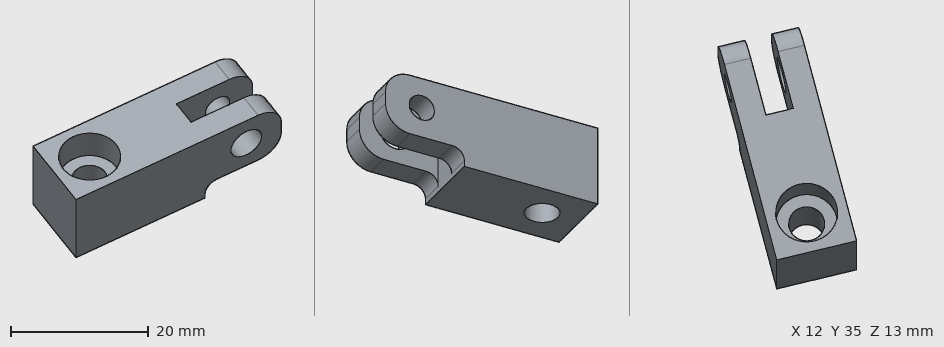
import cadquery as cq

length = 35
width = 12.0
height = 13.0

fork_length = 13.0
fork_height = 10.0
slot_width = 4.1
nose_radius = 4.0
step_radius = 2.0
near_pin_diameter = 4.13
far_pin_diameter = 5.2
pin_from_end = 6.0

bolt_diameter = 5.2
bore_diameter = 9.0
bore_depth = 5.0
bolt_from_end = 6.0

step_y = length - fork_length
fork_bottom = height - fork_height
pin_y = length - pin_from_end
pin_z = fork_bottom + fork_height / 2


def make_body():
    """Side profile with a raised, round-nosed fork end."""
    body = (
        cq.Workplane("YZ")
        .moveTo(0, 0)
        .lineTo(step_y, 0)
        .lineTo(step_y, fork_bottom)
        .lineTo(length, fork_bottom)
        .lineTo(length, height)
        .lineTo(0, height)
        .close()
        .extrude(width / 2, both=True)
    )
    body = body.edges("|X and >Y").fillet(nose_radius)
    step_corner = cq.selectors.NearestToPointSelector((0, step_y, fork_bottom))
    return body.edges(step_corner).fillet(step_radius)


def make_slot():
    """Gap between the two fork arms."""
    return cq.Workplane("XY").box(
        slot_width, fork_length, height, centered=(True, False, False)
    ).translate((0, step_y, 0))


def make_arm_hole(diameter, side):
    """Cross hole through one fork arm; side is -1 for the -X arm, +1 for the +X arm."""
    return (
        cq.Workplane("YZ")
        .center(pin_y, pin_z)
        .circle(diameter / 2)
        .extrude(side * width)
    )


def add_bolt_hole(body):
    """Through hole counterbored from the top face."""
    return (
        body.faces(">Z")
        .workplane(origin=(0, bolt_from_end, height))
        .cboreHole(bolt_diameter, bore_diameter, bore_depth)
    )


result = add_bolt_hole(make_body()).cut(make_slot())
result = result.cut(make_arm_hole(near_pin_diameter, -1))
result = result.cut(make_arm_hole(far_pin_diameter, 1))